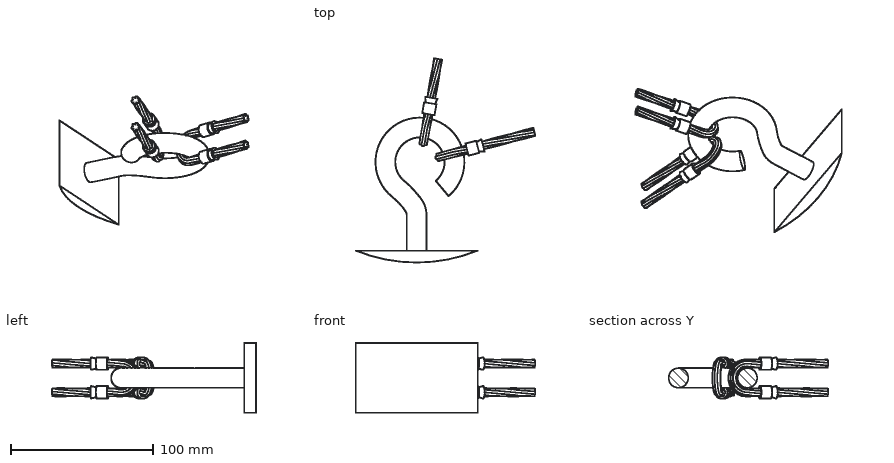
import cadquery as cq
import math

PLATE_WIDTH = 86.0
PLATE_HEIGHT = 49.4
PLATE_DEPTH = 8.5

ROD_RADIUS = 7.0
STEM_LENGTH = 24.6
BEND_MIDDLE = cq.Vector(-4.6, 35.0)
RING_RADIUS = 24.3
RING_CENTER_X = 2.3
RING_CENTER_Y = 62.3
RING_START_ANGLE = 232
RING_END_ANGLE = -50

ROPE_RADIUS = 3.0
GROOVE_RADIUS = 1.9
STRAND_COUNT = 6
FIRST_STRAND_ANGLE = 90
LOOP_CLEARANCE = 0.01
LEG_OFFSET = ROD_RADIUS + ROPE_RADIUS + LOOP_CLEARANCE
TWIST_PER_LENGTH = 2.779
ROPES = [(80, 49.4), (14.8, 59.0)]

FERRULE_RADIUS = 4.5
FERRULE_NECK_RADIUS = 3.5
FERRULE_START = 10.0
SLEEVE_LENGTH = 7.8
FLARE_LENGTH = 3.9
FERRULE_END = FERRULE_START + SLEEVE_LENGTH + FLARE_LENGTH


def polar(radius, angle):
    """Vector of this length, this many degrees round from the first axis."""
    turn = math.radians(angle)
    return cq.Vector(radius * math.cos(turn), radius * math.sin(turn))


def make_plate():
    """The plate, its flat back on the XZ plane and its bulge toward -Y."""
    return (
        cq.Workplane("XY")
        .moveTo(-PLATE_WIDTH / 2, 0)
        .threePointArc((0, -PLATE_DEPTH), (PLATE_WIDTH / 2, 0))
        .close()
        .extrude(PLATE_HEIGHT / 2, both=True)
    )


def make_hook():
    """A round rod swept up the stem, along the bend and round the ring to its open end."""
    ring_center = cq.Vector(RING_CENTER_X, RING_CENTER_Y)
    ring_start = ring_center + polar(RING_RADIUS, RING_START_ANGLE)
    ring_end = ring_center + polar(RING_RADIUS, RING_END_ANGLE)
    ring_middle_angle = (RING_START_ANGLE + RING_END_ANGLE) / 2
    ring_middle = ring_center + polar(RING_RADIUS, ring_middle_angle)
    stem_direction = cq.Vector(0, 1)
    ring_start_direction = polar(1, RING_START_ANGLE - 90)
    bend_tangents = [stem_direction, ring_start_direction]
    path = (
        cq.Workplane("XY")
        .lineTo(0, STEM_LENGTH)
        .spline([BEND_MIDDLE, ring_start], tangents=bend_tangents, includeCurrent=True)
        .threePointArc(ring_middle.toTuple()[:2], ring_end.toTuple()[:2])
    )
    return cq.Workplane("XZ").circle(ROD_RADIUS).sweep(path)


def rope_section(along, turn):
    """Lobed rope outline across the upper leg, this far along it and turned by this many degrees."""
    step = 360 / STRAND_COUNT
    first = FIRST_STRAND_ANGLE + turn
    plane = cq.Workplane("YZ", origin=(along, 0, LEG_OFFSET))
    start = polar(GROOVE_RADIUS, first - step / 2)
    outline = plane.moveTo(start.x, start.y)
    for strand in range(STRAND_COUNT):
        crest = polar(ROPE_RADIUS, first + strand * step)
        groove = polar(GROOVE_RADIUS, first + (strand + 0.5) * step)
        outline = outline.threePointArc((crest.x, crest.y), (groove.x, groove.y))
    return outline.close()


def twisted_length(start, end):
    """A stretch of the upper leg, its strands winding steadily along it."""
    section = rope_section(start, TWIST_PER_LENGTH * start)
    return section.twistExtrude(end - start, TWIST_PER_LENGTH * (end - start))


def make_ferrule():
    """A solid sleeve and flare; the rope meets its two flat ends."""
    sleeve = (
        cq.Workplane("YZ", origin=(FERRULE_START, 0, LEG_OFFSET))
        .circle(FERRULE_RADIUS)
        .extrude(SLEEVE_LENGTH)
    )
    return (
        sleeve.faces(">X")
        .workplane()
        .circle(FERRULE_NECK_RADIUS)
        .workplane(offset=FLARE_LENGTH)
        .circle(FERRULE_RADIUS)
        .loft(ruled=True, combine=True)
    )


def make_rope(ring_angle, leg_length):
    """One rope with its ferrules, looped round the ring rod at the given angle."""
    upper = (
        make_ferrule()
        .union(twisted_length(0, FERRULE_START))
        .union(twisted_length(FERRULE_END, leg_length))
    )
    lower = upper.rotate((0, 0, 0), (1, 0, 0), 180)
    loop = rope_section(0, 0).revolve(180, (0, -LEG_OFFSET), (-1, -LEG_OFFSET))
    rope = loop.union(upper).union(lower)
    place = cq.Vector(RING_CENTER_X, RING_CENTER_Y) + polar(RING_RADIUS, ring_angle)
    return rope.rotate((0, 0, 0), (0, 0, 1), ring_angle).translate(place)


plate = make_plate()
hook = make_hook()
ropes = [make_rope(ring_angle, leg_length) for ring_angle, leg_length in ROPES]

result = cq.Compound.makeCompound([plate.val(), hook.val(), *[rope.solids().val() for rope in ropes]])